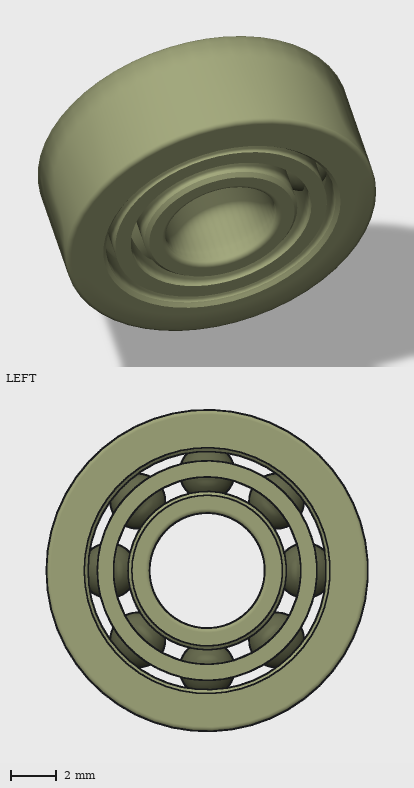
import cadquery as cq
import math

WIDTH = 5.01
OUTER_DIAMETER = 14.0
BORE_DIAMETER = 5.0
CORNER_RADIUS = 0.2

OUTER_SHOULDER_RADIUS = 5.18
INNER_SHOULDER_RADIUS = 3.45
CHAMFER_HEIGHT = 0.17
CHAMFER_DEPTH = 0.17

BALL_COUNT = 8
BALL_RADIUS = 1.2
PITCH_RADIUS = 4.27

CAGE_INNER_RADIUS = 4.07
CAGE_OUTER_RADIUS = 4.77
CAGE_INSET = 0.14

MID_X = WIDTH / 2


def revolve_about_x(profile):
    """Revolve a closed profile, drawn as (x, radius), about the X axis."""
    return profile.revolve(360, (0, 0, 0), (1, 0, 0))


def ball_track():
    """Torus swept by the balls as they roll around the bearing."""
    return revolve_about_x(cq.Workplane("XY").moveTo(MID_X, PITCH_RADIUS).circle(BALL_RADIUS))


def make_ring(shoulder_radius, rim_radius):
    """Race ring: rounded rim corners, chamfered shoulder corners and a ball track."""
    outward = math.copysign(1, rim_radius - shoulder_radius)
    chamfer_radius = shoulder_radius + outward * CHAMFER_HEIGHT
    round_radius = rim_radius - outward * CORNER_RADIUS
    round_mid = CORNER_RADIUS * (1 - math.sqrt(0.5))
    round_mid_radius = rim_radius - outward * round_mid
    profile = (
        cq.Workplane("XY")
        .moveTo(CHAMFER_DEPTH, shoulder_radius)
        .lineTo(WIDTH - CHAMFER_DEPTH, shoulder_radius)
        .lineTo(WIDTH, chamfer_radius)
        .lineTo(WIDTH, round_radius)
        .threePointArc((WIDTH - round_mid, round_mid_radius), (WIDTH - CORNER_RADIUS, rim_radius))
        .lineTo(CORNER_RADIUS, rim_radius)
        .threePointArc((round_mid, round_mid_radius), (0, round_radius))
        .lineTo(0, chamfer_radius)
        .close()
    )
    return revolve_about_x(profile).cut(ball_track())


def make_ball_cage():
    """Cage ring with the balls fixed in it, as one solid."""
    cage = (
        cq.Workplane("YZ", origin=(CAGE_INSET, 0, 0))
        .circle(CAGE_OUTER_RADIUS)
        .circle(CAGE_INNER_RADIUS)
        .extrude(WIDTH - 2 * CAGE_INSET)
    )
    ball = cq.Workplane("XY").sphere(BALL_RADIUS).translate((MID_X, 0, PITCH_RADIUS))
    for index in range(BALL_COUNT):
        cage = cage.union(ball.rotate((0, 0, 0), (1, 0, 0), index * 360 / BALL_COUNT))
    return cage


outer_ring = make_ring(OUTER_SHOULDER_RADIUS, OUTER_DIAMETER / 2)
inner_ring = make_ring(INNER_SHOULDER_RADIUS, BORE_DIAMETER / 2)
ball_cage = make_ball_cage()

result = cq.Compound.makeCompound([outer_ring.val(), inner_ring.val(), ball_cage.val()])